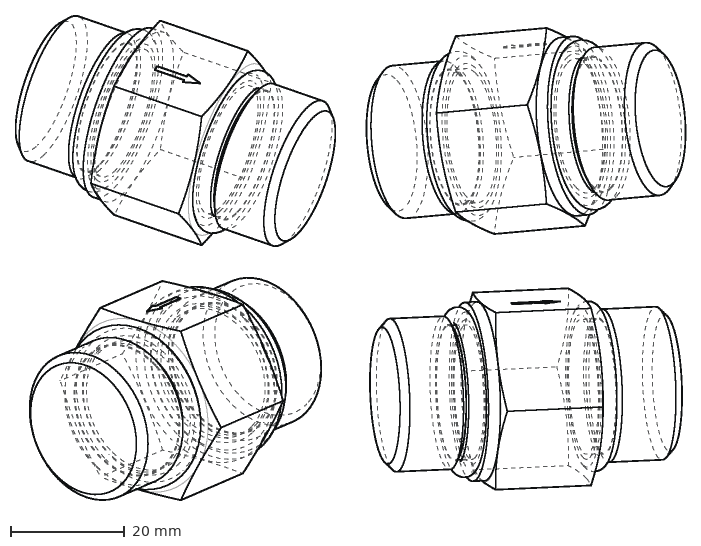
import cadquery as cq
import math

length = 50.8
thread_diameter = 27.0
end_face_diameter = 24.1
collar_diameter = 31.5
hex_across_flats = 31.75

collar_start = 15.1
hex_start = 17.2
hex_end = 35.7
groove_width = 3.15
groove_chamfer_angle = 30.0
hex_chamfer_angle = 15.0

ring_outer_diameter = 29.95
ring_section_diameter = 3.15
ring_seat_depth = 0.15

arrow_tail_x = 22.45
arrow_head_x = 28.25
arrow_tip_x = 31.15
arrow_y = -1.8
arrow_shaft_width = 1.0
arrow_head_width = 2.15
arrow_depth = 0.1

thread_radius = thread_diameter / 2
end_face_radius = end_face_diameter / 2
end_chamfer = thread_radius - end_face_radius
ring_section_radius = ring_section_diameter / 2
ring_shoulder_offset = ring_section_radius - ring_seat_depth
ring_centres = [collar_start - ring_shoulder_offset, hex_end + ring_shoulder_offset]
groove_radius = ring_outer_diameter / 2 - ring_section_diameter
groove_chamfer_length = end_chamfer * math.tan(math.radians(groove_chamfer_angle))
hex_flat_radius = hex_across_flats / 2
hex_corner_radius = hex_flat_radius / math.cos(math.radians(30))
hex_chamfer_length = (hex_corner_radius - hex_flat_radius) * math.tan(math.radians(hex_chamfer_angle))
left_groove_start = collar_start - groove_width
right_groove_end = hex_end + groove_width


def revolve_about_x(profile):
    """Solid of revolution of (x, radius) points that start and end on the X axis."""
    axis_start = (0, 0, 0)
    axis_end = (1, 0, 0)
    return cq.Workplane("XY").polyline(profile).close().revolve(360, axis_start, axis_end)


def make_turned_core():
    """Both threaded ends with their O-ring grooves, and the collar."""
    return revolve_about_x([
        (0, 0),
        (0, end_face_radius),
        (end_chamfer, thread_radius),
        (left_groove_start - groove_chamfer_length, thread_radius),
        (left_groove_start, end_face_radius),
        (left_groove_start, groove_radius),
        (collar_start, groove_radius),
        (collar_start, collar_diameter / 2),
        (hex_end, collar_diameter / 2),
        (hex_end, groove_radius),
        (right_groove_end, groove_radius),
        (right_groove_end, end_face_radius),
        (right_groove_end + groove_chamfer_length, thread_radius),
        (length - end_chamfer, thread_radius),
        (length, end_face_radius),
        (length, 0),
    ])


def make_hexagon():
    """Hexagon with flats facing up and down, its corners turned off conically at both ends."""
    prism = (
        cq.Workplane("YZ", origin=(hex_start, 0, 0))
        .polygon(6, 2 * hex_corner_radius)
        .extrude(hex_end - hex_start)
    )
    corner_envelope = revolve_about_x([
        (hex_start, 0),
        (hex_start, hex_flat_radius),
        (hex_start + hex_chamfer_length, hex_corner_radius),
        (hex_end - hex_chamfer_length, hex_corner_radius),
        (hex_end, hex_flat_radius),
        (hex_end, 0),
    ])
    return prism.intersect(corner_envelope)


def make_flow_arrow():
    """Cutter for the arrow, which points along +X."""
    half_shaft = arrow_shaft_width / 2
    half_head = arrow_head_width / 2
    return (
        cq.Workplane("XY", origin=(0, arrow_y, hex_flat_radius))
        .polyline([
            (arrow_tail_x, half_shaft),
            (arrow_head_x, half_shaft),
            (arrow_head_x, half_head),
            (arrow_tip_x, 0),
            (arrow_head_x, -half_head),
            (arrow_head_x, -half_shaft),
            (arrow_tail_x, -half_shaft),
        ])
        .close()
        .extrude(-arrow_depth)
    )


def make_o_ring(centre_x):
    """O-ring around the X axis that rests on the floor of a groove."""
    centre_radius = ring_outer_diameter / 2 - ring_section_radius
    centre = cq.Vector(centre_x, 0, 0)
    axis = cq.Vector(1, 0, 0)
    return cq.Solid.makeTorus(centre_radius, ring_section_radius, centre, axis)


o_rings = [make_o_ring(centre_x) for centre_x in ring_centres]

fitting_body = make_turned_core().union(make_hexagon()).cut(make_flow_arrow())
for o_ring in o_rings:
    fitting_body = fitting_body.cut(cq.Workplane(o_ring))

result = cq.Compound.makeCompound([fitting_body.solids().val(), *o_rings])